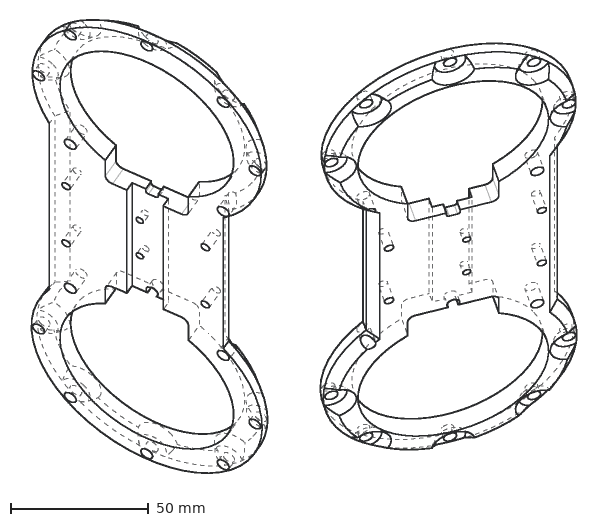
import cadquery as cq
import math

LENGTH = 243.0
THICKNESS = 8.0
EDGE_BEVEL = THICKNESS / 2
PLATE_LEFT = -40.5
PLATE_RIGHT = 31.8

UPPER_RING_RADIUS = 95.3 / 2
LOWER_RING_RADIUS = 96.0 / 2
UPPER_RING_Z = LENGTH / 2 - UPPER_RING_RADIUS
LOWER_RING_Z = LOWER_RING_RADIUS - LENGTH / 2

BORE_RADIUS = 72.2 / 2
BORE_Z = 73.5

SCREW_PITCH_ANGLE = 45
SCREW_CIRCLE_RADIUS = 45.0
SCREW_DIAMETER = 4.9
RECESS_DEPTH = EDGE_BEVEL
RECESS_FLOOR_RADIUS = 5.8
RECESS_MOUTH_RADIUS = 8.3

WINDOW_WIDTH = 34.5
UPPER_WINDOW_Z = 30.0
LOWER_WINDOW_Z = -30.1
WINDOW_CORNER_RADIUS = 3.0
UPPER_NOTCH_WIDTH = 5.0
UPPER_NOTCH_DEPTH = 2.3
UPPER_NOTCH_CORNER_RADIUS = 1.0
LOWER_NOTCH_Z = LOWER_RING_Z + SCREW_CIRCLE_RADIUS

GROOVE_LEFT = -8.3
GROOVE_RIGHT = 6.8
GROOVE_DEPTH = 4.0

MOUNT_CENTRE_X = -4.5
MOUNT_SPACING_X = 57.8
MOUNT_SPACING_Z = 33.3
MOUNT_DIAMETER = 3.5
GROOVE_HOLE_X = -5.0
GROOVE_HOLE_CENTRE_Z = -0.36
GROOVE_HOLE_SPACING_Z = 20.7
GROOVE_HOLE_DIAMETER = 3.0


def bar(x_min, x_max, z_min, z_max, depth):
    """Block reaching from the front face into the plate by depth."""
    size_x = x_max - x_min
    size_z = z_max - z_min
    return cq.Workplane("XY").box(size_x, depth, size_z, centered=False).translate((x_min, 0, z_min))


def cylinders(points, radius):
    """Cylinders through the full thickness at (x, z) points."""
    return cq.Workplane("XZ").pushPoints(points).circle(radius).extrude(-THICKNESS)


def make_blank():
    """Two discs joined by the middle plate, bevelled around the back."""
    upper_disc = cylinders([(0, UPPER_RING_Z)], UPPER_RING_RADIUS)
    lower_disc = cylinders([(0, LOWER_RING_Z)], LOWER_RING_RADIUS)
    plate = bar(PLATE_LEFT, PLATE_RIGHT, LOWER_RING_Z, UPPER_RING_Z, THICKNESS)
    outline = plate.union(upper_disc).union(lower_disc).clean()
    return outline.faces(">Y").edges().chamfer(EDGE_BEVEL)


def rounded_window(width, z_min, z_max, inner_face, corner_radius):
    """Through window with its corners rounded at the end nearest the plate middle."""
    window = bar(-width / 2, width / 2, z_min, z_max, THICKNESS)
    return window.faces(inner_face).edges("|Y").fillet(corner_radius)


def screw_points(first_angle, last_angle):
    """Screw positions between two angles, counted from the X axis away from the plate middle."""
    points = []
    for degrees in range(first_angle, last_angle + 1, SCREW_PITCH_ANGLE):
        angle = math.radians(degrees)
        x = SCREW_CIRCLE_RADIUS * math.cos(angle)
        outward = SCREW_CIRCLE_RADIUS * math.sin(angle)
        points.append((x, UPPER_RING_Z + outward))
        points.append((x, LOWER_RING_Z - outward))
    return points


def make_recess(x, z):
    """Cone widening from the recess floor to the back face."""
    floor_centre = cq.Vector(x, THICKNESS - RECESS_DEPTH, z)
    cone = cq.Solid.makeCone(
        RECESS_FLOOR_RADIUS, RECESS_MOUTH_RADIUS, RECESS_DEPTH, floor_centre, cq.Vector(0, 1, 0)
    )
    return cq.Workplane(obj=cone)


result = make_blank()
result = result.cut(cylinders([(0, BORE_Z), (0, -BORE_Z)], BORE_RADIUS))
result = result.cut(rounded_window(WINDOW_WIDTH, UPPER_WINDOW_Z, BORE_Z, "<Z", WINDOW_CORNER_RADIUS))
result = result.cut(rounded_window(WINDOW_WIDTH, -BORE_Z, LOWER_WINDOW_Z, ">Z", WINDOW_CORNER_RADIUS))
upper_notch_floor = UPPER_WINDOW_Z - UPPER_NOTCH_DEPTH
result = result.cut(
    rounded_window(UPPER_NOTCH_WIDTH, upper_notch_floor, BORE_Z, "<Z", UPPER_NOTCH_CORNER_RADIUS)
)
result = result.cut(cylinders([(0, LOWER_NOTCH_Z)], SCREW_DIAMETER / 2))

result = result.cut(bar(GROOVE_LEFT, GROOVE_RIGHT, LOWER_WINDOW_Z, UPPER_WINDOW_Z, GROOVE_DEPTH))

result = result.cut(cylinders(screw_points(-SCREW_PITCH_ANGLE, 180 + SCREW_PITCH_ANGLE), SCREW_DIAMETER / 2))
for x, z in screw_points(0, 180):
    result = result.cut(make_recess(x, z))

mount_points = [
    (MOUNT_CENTRE_X + i * MOUNT_SPACING_X / 2, j * MOUNT_SPACING_Z / 2) for i in (-1, 1) for j in (-1, 1)
]
groove_hole_points = [
    (GROOVE_HOLE_X, GROOVE_HOLE_CENTRE_Z + j * GROOVE_HOLE_SPACING_Z / 2) for j in (-1, 1)
]
result = result.cut(cylinders(mount_points, MOUNT_DIAMETER / 2))
result = result.cut(cylinders(groove_hole_points, GROOVE_HOLE_DIAMETER / 2))